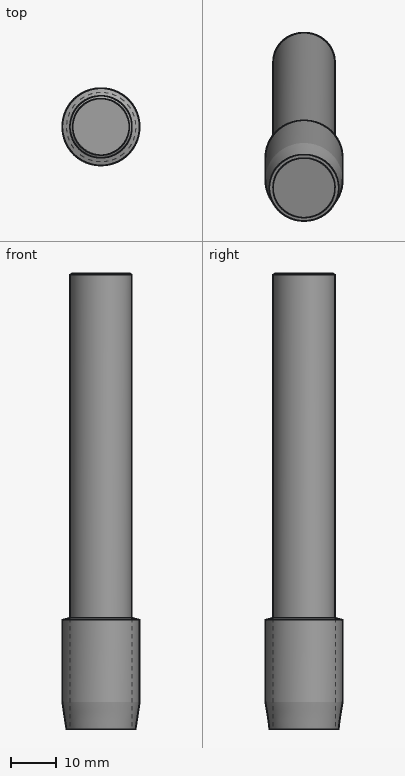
import cadquery as cq

total_length = 100.0
rod_radius = 13.6 / 2
sleeve_radius = 17.0 / 2

rod_chamfer_width = 0.6
rod_chamfer_height = 0.4

nose_height = 6.0
sleeve_shoulder_height = 24.0
sleeve_top_height = 24.5

nose_bottom_radius = 15.2 / 2


def revolve_about_z(profile):
    """Turn a closed radius-height profile into a solid around the Z axis."""
    return profile.close().revolve(360, (0, 0, 0), (0, 1, 0))


def make_rod():
    """Round rod running the full length, chamfered at the top."""
    profile = (
        cq.Workplane("XZ")
        .lineTo(rod_radius, 0)
        .lineTo(rod_radius, total_length - rod_chamfer_height)
        .lineTo(rod_radius - rod_chamfer_width, total_length)
        .lineTo(0, total_length)
    )
    return revolve_about_z(profile)


def make_sleeve():
    """Sleeve around the bottom of the rod, with a tapered nose and a conical top."""
    profile = (
        cq.Workplane("XZ")
        .moveTo(rod_radius, 0)
        .lineTo(nose_bottom_radius, 0)
        .lineTo(sleeve_radius, nose_height)
        .lineTo(sleeve_radius, sleeve_shoulder_height)
        .lineTo(rod_radius, sleeve_top_height)
    )
    return revolve_about_z(profile)


rod = make_rod()
sleeve = make_sleeve()

result = cq.Compound.makeCompound([rod.val(), sleeve.val()])